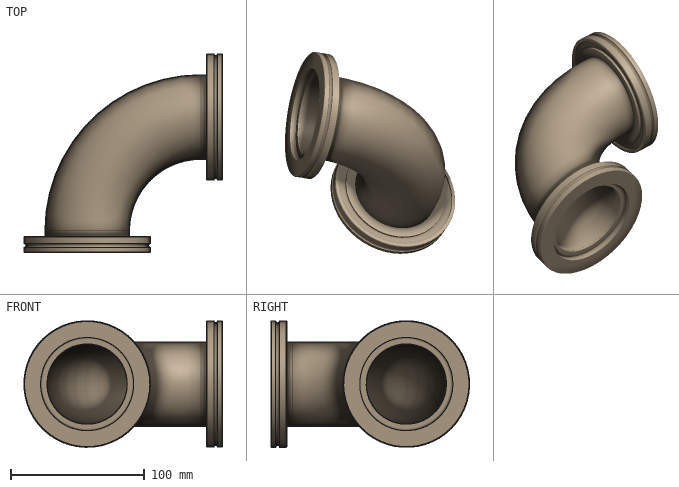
import cadquery as cq
import math

overall_length = 149.1
flange_diameter = 95.0
flange_radius = flange_diameter / 2
port_distance = overall_length - flange_radius

flange_thickness = 12.0
edge_chamfer = 0.5
groove_radius = 1.5
groove_position = 5.0
counterbore_diameter = 70.0
counterbore_depth = 4.5
flange_bore_diameter = 60.2
lip_thickness = 1.5
socket_diameter = 63.7
recess_outer_diameter = 90.0
recess_inner_diameter = 78.0
recess_depth = 1.8

tube_outer_diameter = 63.5
tube_bore_diameter = 60.0
neck_length = 4.3
bend_radius = port_distance - flange_thickness - neck_length
socket_floor = counterbore_depth + lip_thickness
straight_length = flange_thickness + neck_length - socket_floor


def disc(diameter, start, length):
    """Cylinder along +Z from the given height."""
    return cq.Workplane("XY").workplane(offset=start).circle(diameter / 2).extrude(length)


def make_flange():
    """Flange with its sealing face on Z = 0 and its back face at +Z."""
    body = disc(flange_diameter, 0, flange_thickness).edges().chamfer(edge_chamfer)

    rim_groove = cq.Workplane("XY").add(
        cq.Solid.makeTorus(flange_radius, groove_radius, cq.Vector(0, 0, groove_position))
    )
    recess_floor = flange_thickness - recess_depth
    back_recess = disc(recess_outer_diameter, recess_floor, recess_depth).cut(
        disc(recess_inner_diameter, recess_floor, recess_depth)
    )
    counterbore = disc(counterbore_diameter, 0, counterbore_depth)
    bore = disc(flange_bore_diameter, 0, flange_thickness)
    socket = disc(socket_diameter, socket_floor, flange_thickness - socket_floor)
    return body.cut(rim_groove).cut(back_recess).cut(counterbore).cut(bore).cut(socket)


def make_elbow_rod(diameter):
    """Round rod along the elbow centreline, from socket floor to socket floor."""
    end = port_distance - socket_floor
    bend_start = end - straight_length
    diagonal = bend_radius * math.sqrt(0.5)
    centreline = (
        cq.Workplane("XY")
        .moveTo(0, -end)
        .lineTo(0, -bend_start)
        .threePointArc((bend_radius - diagonal, diagonal - bend_radius), (bend_start, 0))
        .lineTo(end, 0)
    )
    section = cq.Workplane("XZ", origin=(0, -end, 0)).circle(diameter / 2)
    return section.sweep(centreline)


def make_elbow():
    """Bent tube with a short straight stretch at each end."""
    return make_elbow_rod(tube_outer_diameter).cut(make_elbow_rod(tube_bore_diameter))


port_placements = [
    ((1, 0, 0), -90, (0, -port_distance, 0)),
    ((0, 1, 0), -90, (port_distance, 0, 0)),
]

elbow = make_elbow()
flanges = [
    make_flange().rotate((0, 0, 0), axis, angle).translate(position)
    for axis, angle, position in port_placements
]

result = cq.Compound.makeCompound([elbow.val(), *[flange.val() for flange in flanges]])